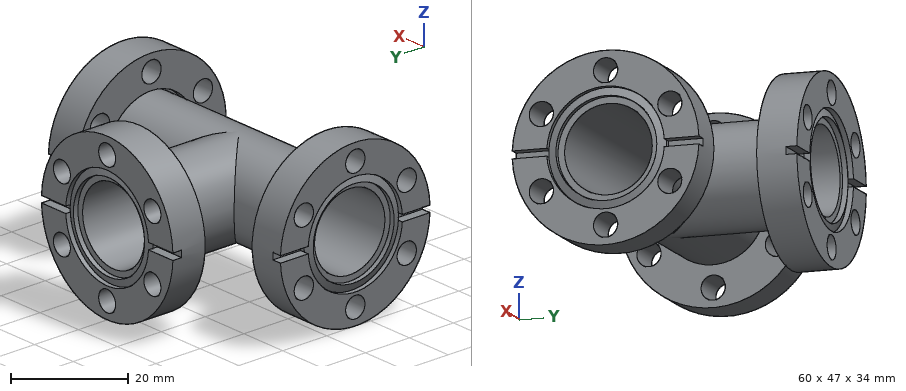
import cadquery as cq
branch_reach = 30.0
flange_diameter = 34.0
flange_thickness = 7.3
tube_diameter = 19.0
bore_diameter = 15.95

bolt_count = 6
bolt_circle_diameter = 27.0
bolt_hole_diameter = 4.4
first_bolt_angle = 30.0

recess_diameter = 21.4
recess_depth = 1.0
knife_tip_diameter = 18.35
knife_tip_depth = 0.4
knife_floor_depth = 1.45

slot_width = 1.4
slot_depth = 2.0

ring_bore_diameter = 20.05
collar_length = 5.7

flange_back = branch_reach - flange_thickness


def cylinder(diameter, bottom, top):
    return cq.Workplane("XY").workplane(offset=bottom).circle(diameter / 2).extrude(top - bottom)


def knife_edge_recess():
    """Ring profile revolved about the port axis: recess wall, sloping knife flank, inner floor."""
    face = branch_reach
    floor = face - knife_floor_depth
    profile = [
        (0, face),
        (recess_diameter / 2, face),
        (recess_diameter / 2, face - recess_depth),
        (knife_tip_diameter / 2, face - knife_tip_depth),
        (knife_tip_diameter / 2, floor),
        (0, floor),
    ]
    return cq.Workplane("XZ").polyline(profile).close().revolve(360, (0, 0, 0), (0, 1, 0))


def bolt_holes():
    return (
        cq.Workplane("XY")
        .workplane(offset=flange_back)
        .polarArray(bolt_circle_diameter / 2, first_bolt_angle, 360, bolt_count)
        .circle(bolt_hole_diameter / 2)
        .extrude(flange_thickness)
    )


def leak_slots():
    """Two opposite radial slots that stop at the recess wall."""
    bar = (
        cq.Workplane("XY")
        .workplane(offset=branch_reach - slot_depth)
        .rect(flange_diameter, slot_width)
        .extrude(slot_depth)
    )
    return bar.cut(cylinder(recess_diameter, flange_back, branch_reach))


def flange_blank():
    """Plain disc with its bolt holes and leak slots, before any bore."""
    disc = cylinder(flange_diameter, flange_back, branch_reach)
    return disc.cut(bolt_holes()).cut(leak_slots())


def fixed_flange():
    return flange_blank().cut(knife_edge_recess())


def knife_edge_collar():
    """Short collar on the tube end that carries the knife edge inside the rotatable ring."""
    tube_end = cylinder(tube_diameter, flange_back, branch_reach - collar_length)
    collar = cylinder(recess_diameter, branch_reach - collar_length, branch_reach)
    return collar.cut(knife_edge_recess()).union(tube_end)


def rotatable_ring():
    """Loose flange ring: counterbore over the collar, clearance bore around the tube."""
    counterbore = cylinder(recess_diameter, branch_reach - collar_length, branch_reach)
    clearance_bore = cylinder(ring_bore_diameter, flange_back, branch_reach)
    return flange_blank().cut(counterbore).cut(clearance_bore)


def to_x_port(body, side):
    """Turn a body from the working frame onto the +X (side = 1) or -X (side = -1) port."""
    return body.rotate((0, 0, 0), (1, 0, 0), 90).rotate((0, 0, 0), (0, 0, 1), side * 90)


def to_y_port(body):
    """Turn a body from the working frame onto the +Y port."""
    return body.rotate((0, 0, 0), (1, 0, 0), -90)


def tee_cylinders(diameter, reach):
    """Run along X joined to the branch along +Y, with every end at the given reach."""
    run = to_x_port(cylinder(diameter, -reach, reach), 1)
    branch = to_y_port(cylinder(diameter, 0, reach))
    return run.union(branch)


tee = (
    tee_cylinders(tube_diameter, flange_back)
    .union(to_x_port(fixed_flange(), -1))
    .union(to_y_port(fixed_flange()))
    .union(to_x_port(knife_edge_collar(), 1))
    .cut(tee_cylinders(bore_diameter, branch_reach))
)

ring = to_x_port(rotatable_ring(), 1)

result = cq.Compound.makeCompound([tee.val(), ring.val()])